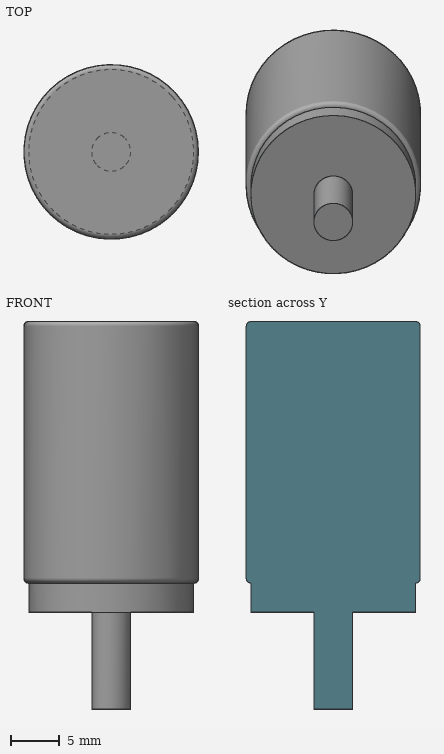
import cadquery as cq

body_diameter = 18.0
body_length = 27.0
edge_radius = 0.5
collar_diameter = body_diameter - 2 * edge_radius
collar_length = 3.0
cable_diameter = 4.0
cable_length = 10.0

body_bottom = collar_length
cable_bottom = -cable_length


def cylinder(diameter, length, bottom):
    """Solid cylinder on the Z axis, rising from the given height."""
    return cq.Workplane("XY").workplane(offset=bottom).circle(diameter / 2).extrude(length)


body = cylinder(body_diameter, body_length, body_bottom).edges("%CIRCLE").fillet(edge_radius)

collar = cylinder(collar_diameter, collar_length, 0)

cable = cylinder(cable_diameter, cable_length, cable_bottom)

result = body.union(collar).union(cable)